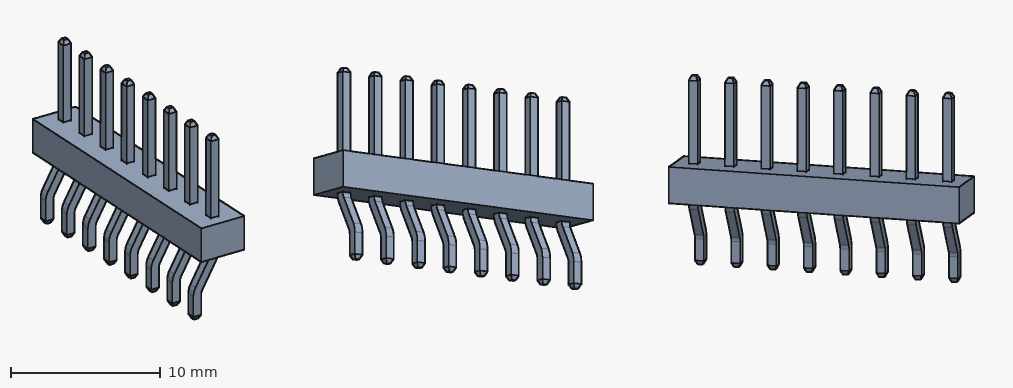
import cadquery as cq
import math

HOUSING_LENGTH = 20.32
HOUSING_DEPTH = 3.45
HOUSING_HEIGHT = 2.5

PIN_COUNT = 8
PIN_PITCH = HOUSING_LENGTH / PIN_COUNT
PIN_WIDTH = 0.63
PIN_RISE = 6.0
PIN_DROP = 4.75

TIP_HEIGHT = 0.3
TIP_WIDTH = PIN_WIDTH / 2

BEND_ANGLE = math.radians(30.5)
BEND_INNER_RADIUS = PIN_WIDTH
BEND_RADIUS = BEND_INNER_RADIUS + PIN_WIDTH / 2
BEND_START_Z = -0.05
TAIL_Y = -(HOUSING_DEPTH - PIN_WIDTH) / 2

TOP_SHOULDER_Z = HOUSING_HEIGHT + PIN_RISE - TIP_HEIGHT
TAIL_SHOULDER_Z = TIP_HEIGHT - PIN_DROP


def bend_offset(angle):
    """Sideways (Y) and axial (Z) travel along one bend after turning by the angle."""
    return BEND_RADIUS * (1 - math.cos(angle)), BEND_RADIUS * math.sin(angle)


def make_pin_axis():
    """Pin centre line, from the upper shoulder down through both bends to the lower one."""
    half_y, half_z = bend_offset(BEND_ANGLE / 2)
    full_y, full_z = bend_offset(BEND_ANGLE)
    slope_y = -TAIL_Y - 2 * full_y
    slope_z = slope_y / math.tan(BEND_ANGLE)
    bend_end_z = BEND_START_Z - slope_z - 2 * full_z
    return (
        cq.Workplane("YZ")
        .moveTo(0, TOP_SHOULDER_Z)
        .lineTo(0, BEND_START_Z)
        .threePointArc((-half_y, BEND_START_Z - half_z), (-full_y, BEND_START_Z - full_z))
        .lineTo(TAIL_Y + full_y, bend_end_z + full_z)
        .threePointArc((TAIL_Y + half_y, bend_end_z + half_z), (TAIL_Y, bend_end_z))
        .lineTo(TAIL_Y, TAIL_SHOULDER_Z)
    )


def make_tip(y, shoulder_z, direction):
    """Square frustum growing up (direction +1) or down (-1) from a pin shoulder."""
    return (
        cq.Workplane("XY", origin=(0, y, shoulder_z))
        .rect(PIN_WIDTH, PIN_WIDTH)
        .workplane(offset=direction * TIP_HEIGHT)
        .rect(TIP_WIDTH, TIP_WIDTH)
        .loft(ruled=True)
    )


def make_pin(x):
    """One bent pin with a tapered tip at each end."""
    shank = (
        cq.Workplane("XY", origin=(0, 0, TOP_SHOULDER_Z))
        .rect(PIN_WIDTH, PIN_WIDTH)
        .sweep(make_pin_axis())
    )
    upper_tip = make_tip(0, TOP_SHOULDER_Z, 1)
    lower_tip = make_tip(TAIL_Y, TAIL_SHOULDER_Z, -1)
    return shank.union(upper_tip).union(lower_tip).translate((x, 0, 0))


def make_housing(pin_positions):
    """Rectangular bar with one square through hole per pin."""
    bar = cq.Workplane("XY").box(
        HOUSING_LENGTH, HOUSING_DEPTH, HOUSING_HEIGHT, centered=(True, True, False)
    )
    holes = (
        cq.Workplane("XY")
        .pushPoints([(x, 0) for x in pin_positions])
        .rect(PIN_WIDTH, PIN_WIDTH)
        .extrude(HOUSING_HEIGHT)
    )
    return bar.cut(holes)


pin_positions = [(i - (PIN_COUNT - 1) / 2) * PIN_PITCH for i in range(PIN_COUNT)]
housing = make_housing(pin_positions)
pins = [make_pin(x) for x in pin_positions]

result = cq.Compound.makeCompound([housing.val(), *[pin.val() for pin in pins]])